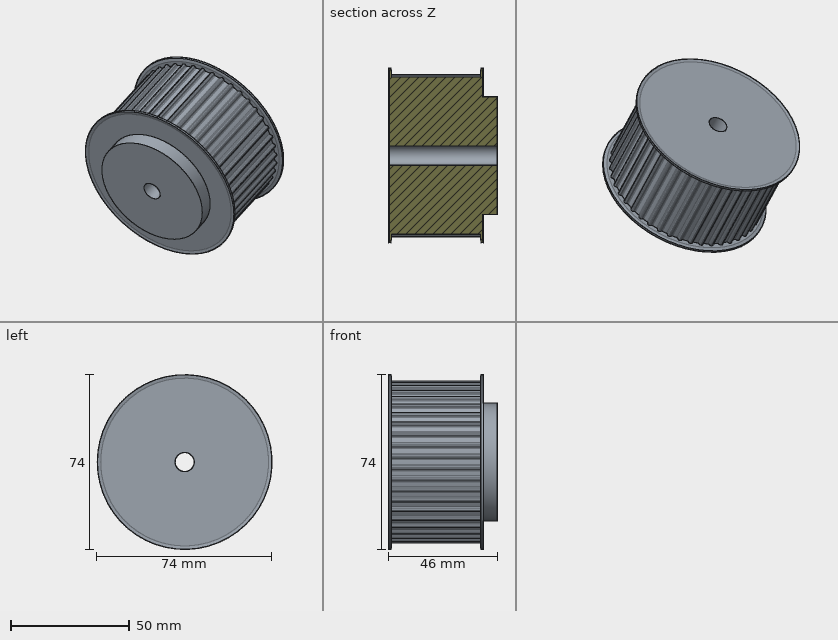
import cadquery as cq
import math


flange_radius = 37.0
rim_width = 40.0
total_length = 46.0
hub_radius = 25.0
bore_radius = 4.0

flange_thickness = 0.95
flange_dish = 0.3
bend_radius = 35.5

tooth_count = 44
tip_radius = 34.4
groove_depth = 1.1
groove_floor_width = 2.7
flank_angle = 25.0
tip_fillet = 0.7
root_fillet = 0.45

root_radius = tip_radius - groove_depth
tooth_pitch = 2 * math.pi / tooth_count


def polar(radius, angle):
    """Point at the given radius and angle (radians) in the YZ plane."""
    return (radius * math.cos(angle), radius * math.sin(angle))


def axis_distance(edge):
    """Distance of an edge parallel to X from the X axis."""
    centre = edge.Center()
    return math.hypot(centre.y, centre.z)


def groove_half_angle(radius):
    """Half angle taken up by a groove at the given radius, with straight slanted flanks."""
    slope = math.tan(math.radians(flank_angle))
    half_floor = groove_floor_width / 2
    floor_height = math.sqrt(root_radius**2 - half_floor**2)
    offset = half_floor - slope * floor_height
    axis_to_flank = offset * math.cos(math.radians(flank_angle))
    return math.radians(flank_angle) + math.asin(axis_to_flank / radius)


def toothed_rim():
    """Toothed cylinder, with a groove centred on each of the Y and Z axes."""
    floor_half = groove_half_angle(root_radius)
    tip_start = groove_half_angle(tip_radius)
    rim_start = flange_dish + flange_thickness / 2
    rim_length = rim_width - 2 * rim_start
    outline = cq.Workplane("YZ", origin=(rim_start, 0, 0)).moveTo(*polar(root_radius, -floor_half))
    for tooth in range(tooth_count):
        groove = tooth * tooth_pitch
        next_groove = groove + tooth_pitch
        outline = (
            outline
            .threePointArc(polar(root_radius, groove), polar(root_radius, groove + floor_half))
            .lineTo(*polar(tip_radius, groove + tip_start))
            .threePointArc(
                polar(tip_radius, groove + tooth_pitch / 2),
                polar(tip_radius, next_groove - tip_start),
            )
            .lineTo(*polar(root_radius, next_groove - floor_half))
        )
    rim = outline.close().extrude(rim_length)
    mid_radius = root_radius + groove_depth / 2
    axial_edges = rim.edges("|X").vals()
    tip_edges = [edge for edge in axial_edges if axis_distance(edge) > mid_radius]
    root_edges = [edge for edge in axial_edges if axis_distance(edge) < mid_radius]
    rim = rim.newObject(tip_edges).fillet(tip_fillet)
    return rim.newObject(root_edges).fillet(root_fillet)


def flange():
    """Flange at the -X end, its bent border reaching X = 0."""
    inner_face = flange_dish + flange_thickness
    profile = [
        (flange_dish, 0),
        (flange_dish, bend_radius),
        (0, flange_radius),
        (flange_thickness, flange_radius),
        (inner_face, bend_radius),
        (inner_face, 0),
    ]
    return cq.Workplane("XY").polyline(profile).close().revolve(360, (0, 0, 0), (1, 0, 0))


hub_start = rim_width - flange_dish - flange_thickness
near_flange = flange()
far_flange = near_flange.mirror("YZ").translate((rim_width, 0, 0))
hub = cq.Workplane("YZ").workplane(offset=hub_start).circle(hub_radius).extrude(total_length - hub_start)

bore = cq.Workplane("YZ").circle(bore_radius).extrude(total_length)

result = toothed_rim().union(near_flange).union(far_flange).union(hub).cut(bore)